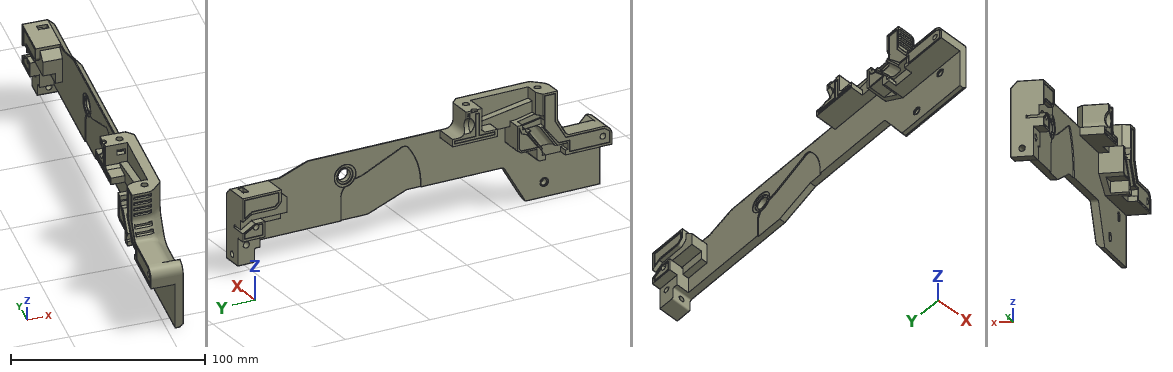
import cadquery as cq
import math

LENGTH = 218.2
WIDTH = 17.5
HEIGHT = 65.0
FACE = 13.0
RIM = 1.3
PANEL_DEPTH = 0.5

REAR_TOP = 45.5
ARM_TOP = 51.3
ARM_BOTTOM = 21.8
REAR_BOTTOM = 13.0
TAB_BOTTOM = 5.2
TAB_FRONT = 208.5
TAB_FILLET = 1.0

POST_BACK = 86.5
POST_FRONT = 77.0
POST_FILLET = 4.4
FLANGE_BACK = 94.3
FLANGE_FRONT = 67.9
FLANGE_BOTTOM = 47.1
WALL_FACE = 11.8
SHELF_FACE = 7.6
GRIP_BACK = 43.0
GRIP_FRONT = 32.3
GRIP_BEND = 48.5
LEDGE_START = 26.6
LEDGE_TOP = 38.8
GRIP_FILLET = 4.4
LEDGE_FILLET = 2.8
BLOCK_BOTTOM = 27.7
GUIDE_BACK = 56.0
GUIDE_TOP = 50.2
SEAT_TOP = 52.4
BUTT_ROUND = 5.7
SCREW_X = 9.0
POST_SCREW_Y = 81.5
GRIP_SCREW_Y = 39.0
SCREW_DIAMETER = 3.5
PIN_DIAMETER = 3.3
SCREW_DEPTH = 8.7

PIVOT_Y = 150.4
PIVOT_Z = 38.0
PIVOT_DIAMETER = 7.2
PIVOT_BORE = 9.5
PIVOT_PAD = 12.7

BLOCK_FRONT = 195.5
STEP_FRONT = 191.0
STEP_FACE = 2.5
STEP_BOTTOM = 30.8
WEB_FACE = 9.2
WEB_BOTTOM = 24.7
LUG_FRONT = 205.1
LUG_BOTTOM = 21.0
LEG_FACE = 5.2


def side_prism(points, x_start, x_end):
    """Extrude a (Y, Z) outline from x_start to x_end."""
    return cq.Workplane("YZ", origin=(x_start, 0, 0)).polyline(points).close().extrude(x_end - x_start)


def box(x_range, y_range, z_range):
    """Box given by its limits along each axis."""
    size = [high - low for low, high in (x_range, y_range, z_range)]
    corner = (x_range[0], y_range[0], z_range[0])
    return cq.Workplane("XY").box(*size, centered=False).translate(corner)


def cross_hole(y, z, diameter, x_start=0.0, depth=WIDTH):
    """Cylinder along X."""
    return cq.Workplane("YZ", origin=(x_start, y, z)).circle(diameter / 2).extrude(depth)


def screw_hole(y):
    """Blind screw hole down from the top of a post."""
    bottom = cq.Workplane("XY", origin=(SCREW_X, y, HEIGHT - SCREW_DEPTH))
    return bottom.circle(SCREW_DIAMETER / 2).extrude(SCREW_DEPTH)


def round_corner(body, y, z, radius):
    """Fillet the edge along X that passes nearest to (y, z)."""
    return body.edges("|X").edges(cq.NearestToPointSelector((WIDTH / 2, y, z))).fillet(radius)


def plate():
    """Full side outline, as thick as the thin plate."""
    outline = [
        (0, 0), (43.9, 0), (56.7, ARM_BOTTOM), (113.7, ARM_BOTTOM), (136.8, REAR_BOTTOM),
        (TAB_FRONT, REAR_BOTTOM), (TAB_FRONT, TAB_BOTTOM), (LENGTH, TAB_BOTTOM), (LENGTH, REAR_TOP),
        (189.2, REAR_TOP), (172.5, ARM_TOP), (POST_BACK, ARM_TOP), (POST_BACK, HEIGHT), (GRIP_FRONT, HEIGHT),
        (GRIP_FRONT, GRIP_BEND), (LEDGE_START, LEDGE_TOP), (0, LEDGE_TOP),
    ]
    body = side_prism(outline, FACE, WIDTH)
    bottom_bevel = 2.0
    body = body.faces("<Z").edges(">X").chamfer(bottom_bevel)
    arm_fillet = 2.2
    return round_corner(body, 56.7, ARM_BOTTOM, arm_fillet)


def pivot_hole():
    """Through hole with a counterbore and a thin spot face."""
    bore_depth = 1.0
    face_depth = 0.33
    return cross_hole(PIVOT_Y, PIVOT_Z, PIVOT_DIAMETER).union(
        cross_hole(PIVOT_Y, PIVOT_Z, PIVOT_BORE, FACE, bore_depth)
    ).union(cross_hole(PIVOT_Y, PIVOT_Z, PIVOT_PAD, FACE, face_depth))


def arm_recess():
    """Shallow curved relief on the lower half of the arm, kept clear of the pivot pad."""
    depth = 0.7
    pivot_pad = cross_hole(PIVOT_Y, PIVOT_Z, PIVOT_PAD, FACE, depth)
    relief = (
        cq.Workplane("YZ", origin=(FACE, 0, 0))
        .moveTo(153.0, 0).lineTo(153.0, 26.5)
        .threePointArc((150.0, 32.5), (144, 35.1))
        .lineTo(140.0, 36.2).lineTo(118.3, 46.0)
        .threePointArc((115.7, 47.0), (113.3, 46.0))
        .threePointArc((107.5, 35.8), (105.6, 25.0))
        .lineTo(105.6, 0).close().extrude(depth)
    )
    return relief.cut(pivot_pad)


def rear_block():
    """Stepped block, hanging lug and leg at the rear end."""
    outer = side_prism(
        [(LENGTH, REAR_TOP), (BLOCK_FRONT, REAR_TOP), (BLOCK_FRONT, 38.5), (198.5, 35.4),
         (213.0, 35.4), (LENGTH, 32.0)],
        0, FACE)
    corner_fillet = 2.2
    outer = round_corner(outer, BLOCK_FRONT, 38.5, corner_fillet)
    outer = round_corner(outer, 198.5, 35.4, corner_fillet)
    panel = side_prism(
        [(LENGTH - RIM, REAR_TOP - RIM), (BLOCK_FRONT + RIM, REAR_TOP - RIM), (BLOCK_FRONT + RIM, 38.8),
         (199.0, 36.7), (212.5, 36.7), (LENGTH - RIM, 33.8)],
        0, PANEL_DEPTH)
    step = side_prism(
        [(LENGTH, REAR_TOP), (BLOCK_FRONT, 43.6), (STEP_FRONT, 39.5), (STEP_FRONT, STEP_BOTTOM),
         (211.7, STEP_BOTTOM), (LENGTH, 26.8)],
        STEP_FACE, FACE)
    web = box((WEB_FACE, FACE), (STEP_FRONT, LENGTH), (WEB_BOTTOM, STEP_BOTTOM))
    lug = side_prism(
        [(LENGTH, LUG_BOTTOM), (LUG_FRONT, LUG_BOTTOM), (LUG_FRONT, 29.7), (210.8, 29.7), (LENGTH, 25.5)],
        0, FACE)
    lug_panel = side_prism(
        [(LENGTH - RIM, LUG_BOTTOM + RIM), (LUG_FRONT + RIM, LUG_BOTTOM + RIM), (LUG_FRONT + RIM, 28.5),
         (210.5, 28.5), (LENGTH - RIM, 25.0)],
        0, PANEL_DEPTH)
    leg = side_prism(
        [(LENGTH, LUG_BOTTOM), (LUG_FRONT, LUG_BOTTOM), (LUG_FRONT, REAR_BOTTOM), (TAB_FRONT, REAR_BOTTOM),
         (TAB_FRONT, TAB_BOTTOM), (LENGTH, TAB_BOTTOM)],
        LEG_FACE, FACE)
    return outer.cut(panel).union(step).union(web).union(lug.cut(lug_panel)).union(leg)


def rear_holes():
    """Cross holes, the hole along the tab and the stepped slot in the top."""
    lug_hole = cross_hole(210.2, 27.5, PIN_DIAMETER)
    leg_hole = cross_hole(213.2, 16.1, SCREW_DIAMETER)
    tab_hole = cq.Workplane("XZ", origin=(11.3, LENGTH, 9.5)).circle(PIN_DIAMETER / 2)
    tab_hole = tab_hole.extrude(LENGTH - TAB_FRONT)
    slot_span = (211.3, 214.3)
    slot_depth = 1.3
    slot = box((6.5, 9.4), slot_span, (REAR_TOP - slot_depth, REAR_TOP))
    deep_slot = box((9.4, 12.2), slot_span, (REAR_TOP - 2 * slot_depth, REAR_TOP))
    return lug_hole.union(leg_hole).union(tab_hole).union(slot).union(deep_slot)


def rear_post():
    """Post and its foot flange behind the head opening."""
    outline = [
        (FLANGE_FRONT, FLANGE_BOTTOM), (FLANGE_FRONT, ARM_TOP), (75.3, ARM_TOP), (POST_FRONT, 52.8),
        (POST_FRONT, HEIGHT), (POST_BACK, HEIGHT), (POST_BACK, ARM_TOP),
        (FLANGE_BACK, ARM_TOP), (FLANGE_BACK, FLANGE_BOTTOM),
    ]
    panel_top = 50.0
    foot_span = (FLANGE_FRONT + RIM, FLANGE_BACK - RIM)
    foot_panel = box((0, PANEL_DEPTH), foot_span, (FLANGE_BOTTOM + RIM, panel_top))
    post_panel = box((0, PANEL_DEPTH), (78.3, 80.5), (panel_top, 62.6))
    return side_prism(outline, 0, FACE).cut(foot_panel).cut(post_panel)


def rear_post_cuts():
    """Side window, top half hole, screw hole, pin hole and nut slot of the rear post."""
    y = POST_SCREW_Y
    window_radius = 5.5
    window_depth = 2.0
    window_end = 89.3
    window_z = 57.0
    taper_length = 2.5
    window_x = window_depth - window_radius
    window = cq.Workplane("XZ", origin=(window_x, window_end, window_z)).circle(window_radius)
    window = window.extrude(window_end - y - taper_length)
    window = window.union(cq.Workplane(cq.Solid.makeCone(
        window_radius - window_depth, window_radius, taper_length,
        cq.Vector(window_x, y, window_z), cq.Vector(0, 1, 0),
    )))
    pin_depth = 1.0
    half_hole = cq.Workplane("XY", origin=(0, y, HEIGHT - pin_depth)).circle(SCREW_DIAMETER / 2)
    half_hole = half_hole.extrude(pin_depth)
    nut_slot = box((6.3, 10.7), (POST_FRONT, y), (58.3, 61.3))
    pin_hole = box((0, pin_depth), (84.0, 85.3), (62.0, 63.7))
    return window.union(half_hole).union(screw_hole(y)).union(nut_slot).union(pin_hole)


def connecting_wall():
    """Wall between the posts: thin above, thicker below a sloping shelf."""
    upper = box((WALL_FACE, FACE), (GRIP_BACK, POST_FRONT), (FLANGE_BOTTOM, HEIGHT))
    shelf = side_prism(
        [(GRIP_BACK, FLANGE_BOTTOM), (POST_FRONT, FLANGE_BOTTOM), (POST_FRONT, 53.3), (GRIP_BACK, 58.7)],
        SHELF_FACE, FACE)
    return upper.union(shelf)


def grip():
    """Grip post, guide block and butt ledge in one outline."""
    outline = [
        (0, BLOCK_BOTTOM), (GRIP_BACK, BLOCK_BOTTOM), (GUIDE_BACK, 36.2), (GUIDE_BACK, GUIDE_TOP),
        (53.0, GUIDE_TOP), (GRIP_BACK, SEAT_TOP), (GRIP_BACK, HEIGHT), (GRIP_FRONT, HEIGHT),
        (GRIP_FRONT, GRIP_BEND), (LEDGE_START, LEDGE_TOP), (0, LEDGE_TOP),
    ]
    body = side_prism(outline, 0, FACE)
    corner = (
        cq.Workplane("XY", origin=(0, 0, SEAT_TOP))
        .polyline([(0, GRIP_BACK), (0, 41.0), (4.1, GRIP_BACK)]).close().extrude(HEIGHT - SEAT_TOP)
    )
    return body.cut(corner)


def grip_panel():
    """Shallow panel that follows the grip front and the ledge."""
    return side_prism(
        [(RIM, BLOCK_BOTTOM + RIM), (24.9, BLOCK_BOTTOM + RIM), (24.9, 35.4), (31.5, 35.4), (39.7, 45.5),
         (39.7, HEIGHT - RIM), (GRIP_FRONT + RIM, HEIGHT - RIM), (GRIP_FRONT + RIM, GRIP_BEND - 0.5),
         (LEDGE_START + 0.7, LEDGE_TOP - RIM), (4.4, LEDGE_TOP - RIM), (RIM, 35.4)],
        0, PANEL_DEPTH)


def guide_cuts():
    """Slanted head seat with its neck, inclined round-bottomed channel, foot pocket and rear undercut."""
    seat_depth = 5.0
    head_seat = side_prism(
        [(52.8, 47.5), (39.7, 49.8), (40.5, 52.8), (53.0, 50.6)],
        0, seat_depth)
    neck_depth = 4.0
    neck = side_prism(
        [(51.5, 47.8), (50.6, 45.6), (40.0, 46.5), (39.7, 49.8)],
        0, neck_depth)
    channel_depth = 3.7
    channel_width = 6.1
    rim_width = 8.0
    bottom_radius = 2.0
    top_y, top_z = 46.5, 47.0
    bottom_y, bottom_z = 35.5, 31.9
    run = math.hypot(bottom_y - top_y, bottom_z - top_z)
    channel_plane = cq.Plane(
        origin=(0, top_y, top_z), xDir=(1, 0, 0), normal=(0, bottom_y - top_y, bottom_z - top_z)
    )
    channel = cq.Workplane(channel_plane).rect(2 * channel_depth, channel_width).extrude(run)
    channel = channel.edges(cq.selectors.ParallelDirSelector(channel_plane.zDir)).fillet(bottom_radius)
    channel_rim = cq.Workplane(channel_plane).rect(2 * PANEL_DEPTH, rim_width).extrude(run)
    foot = box((0, seat_depth), (26.2, 41.2), (30.5, 34.3))
    foot_opening = box((0, seat_depth), (27.7, 39.5), (BLOCK_BOTTOM, 30.5))
    undercut_depth = 9.8
    undercut = box((0, undercut_depth), (44.3, GUIDE_BACK), (BLOCK_BOTTOM, 34.7))
    guide_panel = side_prism(
        [(GUIDE_BACK - RIM, 36.9), (53.5, 35.5), (43.6, 35.5), (50.2, 44.0), (53.5, 45.5),
         (GUIDE_BACK - RIM, 48.9)],
        0, PANEL_DEPTH)
    cuts = head_seat
    for cut in (neck, channel, channel_rim, foot, foot_opening, undercut, guide_panel):
        cuts = cuts.union(cut)
    return cuts


def grip_grooves():
    """Finger grooves across the upright and sloping grip front."""
    pitch = 3.5
    height = 1.7
    depth = 1.3
    first_upright = HEIGHT - 2.5
    first_slope = GRIP_BEND - 2.8
    upright_levels = [first_upright - i * pitch for i in range(4)]
    slope_levels = [first_slope - i * pitch for i in range(2)]
    slope_run = (GRIP_FRONT - LEDGE_START) / (GRIP_BEND - LEDGE_TOP)
    cuts = cq.Workplane("XY")
    for z in upright_levels + slope_levels:
        front = GRIP_FRONT - max(0, GRIP_BEND - z) * slope_run
        cuts = cuts.union(box((1.0, 10.7), (front - depth, front + depth), (z - height / 2, z + height / 2)))
    return cuts


def butt_holes():
    """Round end hole and two counterbored plate holes."""
    holes = cross_hole(5.2, 33.2, PIN_DIAMETER)
    sink_diameter = 4.8
    sink_depth = 0.7
    for y, z in [(15.0, 23.4), (32.7, 8.3)]:
        holes = holes.union(cross_hole(y, z, SCREW_DIAMETER))
        holes = holes.union(cross_hole(y, z, sink_diameter, FACE, sink_depth))
    return holes


def outer_edges(body, x, y_range, z_range):
    """Edges lying in the plane at x within the given Y and Z limits."""
    slack = 0.02
    low = (x - slack, y_range[0] - slack, z_range[0] - slack)
    high = (x + slack, y_range[1] + slack, z_range[1] + slack)
    return body.edges(cq.selectors.BoxSelector(low, high, boundingbox=True))


def arm_bevel(body):
    """Bevel the outer edge from the rear end over the arm and up the rear post."""
    size = 3.7
    return outer_edges(body, WIDTH, (POST_BACK, LENGTH), (REAR_TOP, HEIGHT)).chamfer(size)


def grip_bevel(body):
    """Broad bevel with a softened inner corner down the grip front and along the ledge."""
    size = 6.8
    softening = 6.5
    y_range = (0, GRIP_FRONT)
    z_range = (LEDGE_TOP, HEIGHT)
    body = outer_edges(body, WIDTH, y_range, z_range).chamfer(size)
    return outer_edges(body, WIDTH - size, y_range, z_range).fillet(softening)


def butt_end():
    """Full-width end of the ledge where the bevel runs out on a slope."""
    runout = BUTT_ROUND + LEDGE_TOP - BLOCK_BOTTOM
    return side_prism(
        [(0, BLOCK_BOTTOM), (0, LEDGE_TOP), (BUTT_ROUND, LEDGE_TOP), (runout, BLOCK_BOTTOM)],
        0, WIDTH)


solid = plate().cut(arm_recess())
for part in (rear_block(), rear_post(), connecting_wall(), grip()):
    solid = solid.union(part)
solid = solid.clean()
solid = round_corner(solid, POST_BACK, ARM_TOP, POST_FILLET)
solid = round_corner(solid, TAB_FRONT, REAR_BOTTOM, TAB_FILLET)
solid = round_corner(solid, TAB_FRONT, TAB_BOTTOM, TAB_FILLET)
solid = round_corner(solid, GRIP_FRONT, GRIP_BEND, GRIP_FILLET)
solid = round_corner(solid, LEDGE_START, LEDGE_TOP, LEDGE_FILLET)
solid = arm_bevel(solid)
solid = grip_bevel(solid)
solid = solid.union(butt_end()).clean()
solid = round_corner(solid, 0, LEDGE_TOP, BUTT_ROUND)
for cut in (pivot_hole(), rear_holes(), rear_post_cuts(), grip_panel(), guide_cuts(), grip_grooves(),
            butt_holes(), screw_hole(GRIP_SCREW_Y)):
    solid = solid.cut(cut)
result = solid